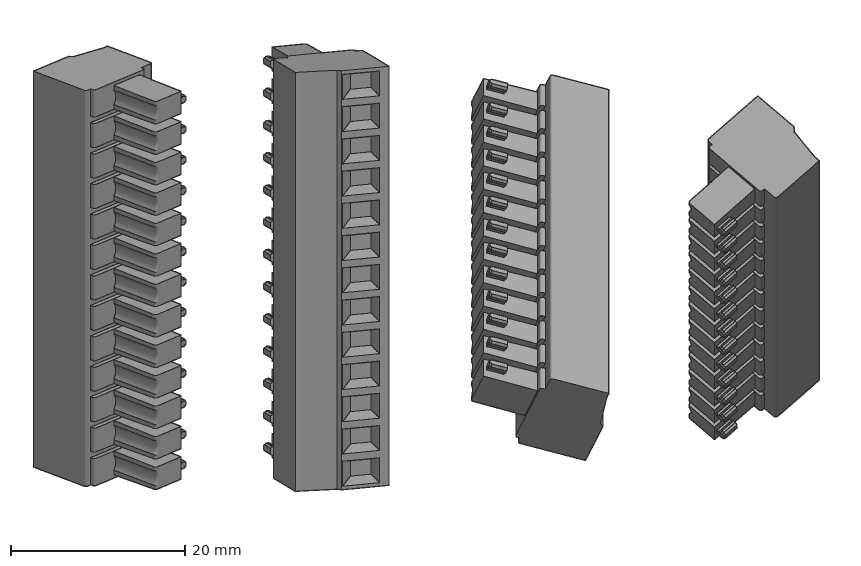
import math

import cadquery as cq

pitch = 3.81
positions = 13
length = pitch * positions
depth = 15.5
width = 11.1

shoulder_x = 8.3
step_x = 8.9
step_front_y = 0.8
step_back_y = 9.25
ledge_y = 5.9
ledge_top_y = 6.25
ledge_x = 0.45
slope_top_x = 1.2
slope_top_y = 10.4
edge_radius = 0.3

plug_front_y = 4.05
plug_back_y = 8.3
plug_root_height = 3.0
plug_tip_height = 2.8
channel_diameter = 3.0
channel_mouth = 1.8

entry_front_y = 1.2
entry_back_y = 5.75
entry_height = 2.95
floor_front_y = 1.45
floor_back_y = 4.0
floor_height = 1.8
entry_depth = 2.0

rib_start_x = 13.0
rib_end_x = 15.15
rib_neck_y = 8.6
rib_flare_y = 8.9
rib_bevel_y = 9.2
rib_top_y = 9.5
rib_neck_half = 0.25
rib_head_half = 0.55
rib_top_half = 0.35
rib_taper_length = 0.25
rib_taper_inset = 0.15


def make_housing():
    """Housing extruded along Z, with rounded edges on the mating side."""
    outline = [
        (0, 0),
        (shoulder_x, 0),
        (shoulder_x, step_front_y),
        (step_x, step_front_y),
        (step_x, step_back_y),
        (shoulder_x, step_back_y),
        (shoulder_x, width),
        (slope_top_x, width),
        (slope_top_x, slope_top_y),
        (ledge_x, ledge_top_y),
        (0, ledge_y),
    ]
    rounded_corners = [
        (shoulder_x, 0),
        (step_x, step_front_y),
        (step_x, step_back_y),
        (shoulder_x, width),
    ]
    housing = cq.Workplane("XY").polyline(outline).close().extrude(length)
    for x, y in rounded_corners:
        edge = cq.selectors.NearestToPointSelector((x, y, length / 2))
        housing = housing.edges(edge).fillet(edge_radius)
    return housing


def make_step_gap(z):
    """Slot that separates the shoulder step between two plugs, centred at z."""
    gap = pitch - plug_root_height
    slot = cq.Workplane("XY").box(step_x - shoulder_x, width, gap, centered=False)
    return slot.translate((shoulder_x, 0, z - gap / 2))


def make_plug(z):
    """Drafted plug with a rounded front tip edge and a groove along its front face."""
    root_half = plug_root_height / 2
    tip_half = plug_tip_height / 2
    outline = [
        (shoulder_x, z - root_half),
        (depth, z - tip_half),
        (depth, z + tip_half),
        (shoulder_x, z + root_half),
    ]
    plug = cq.Workplane("XZ", origin=(0, plug_front_y, 0)).polyline(outline).close()
    plug = plug.extrude(plug_front_y - plug_back_y)
    radius = channel_diameter / 2
    axis_y = plug_front_y - math.sqrt(radius**2 - (channel_mouth / 2) ** 2)
    channel = cq.Workplane("YZ", origin=(step_x, axis_y, z)).circle(radius).extrude(depth - step_x)
    plug = plug.cut(channel)
    tip_edges = cq.selectors.BoxSelector(
        (depth - edge_radius, plug_front_y - radius, z - plug_root_height),
        (depth + edge_radius, plug_front_y + radius, z + plug_root_height),
    )
    return plug.faces(">X").edges(tip_edges).fillet(edge_radius)


def rib_section(x, z, head_inset):
    """Closed rib cross-section at x; its head is narrowed by head_inset on each side."""
    half_outline = [
        (plug_back_y, rib_neck_half),
        (rib_neck_y, rib_neck_half),
        (rib_flare_y, rib_head_half - head_inset),
        (rib_bevel_y, rib_head_half - head_inset),
        (rib_top_y, rib_top_half - head_inset),
    ]
    mirrored = [(y, -dz) for y, dz in reversed(half_outline)]
    section = cq.Workplane("YZ", origin=(x, 0, z)).polyline(half_outline + mirrored).close()
    return section.val()


def make_coding_rib(z):
    """Flared rib on the back of a plug; the head tapers at the free end."""
    full_end_x = rib_end_x - rib_taper_length
    start = rib_section(rib_start_x, z, 0)
    full = rib_section(full_end_x, z, 0)
    narrowed = rib_section(rib_end_x, z, rib_taper_inset)
    straight_part = cq.Workplane(cq.Solid.makeLoft([start, full], True))
    return straight_part.union(cq.Workplane(cq.Solid.makeLoft([full, narrowed], True)))


def make_wire_entry(z):
    """Funnel that narrows from the entry face to its flat floor."""
    entry_width = entry_back_y - entry_front_y
    floor_width = floor_back_y - floor_front_y
    entry_middle = (entry_front_y + entry_back_y) / 2
    floor_middle = (floor_front_y + floor_back_y) / 2
    return (
        cq.Workplane("YZ", origin=(0, entry_middle, z))
        .rect(entry_width, entry_height)
        .workplane(offset=entry_depth)
        .center(floor_middle - entry_middle, 0)
        .rect(floor_width, floor_height)
        .loft(ruled=True)
    )


result = make_housing()
for i in range(1, positions):
    result = result.cut(make_step_gap(i * pitch))
for i in range(positions):
    contact_z = (i + 0.5) * pitch
    result = result.union(make_plug(contact_z))
    result = result.union(make_coding_rib(contact_z))
    result = result.cut(make_wire_entry(contact_z))